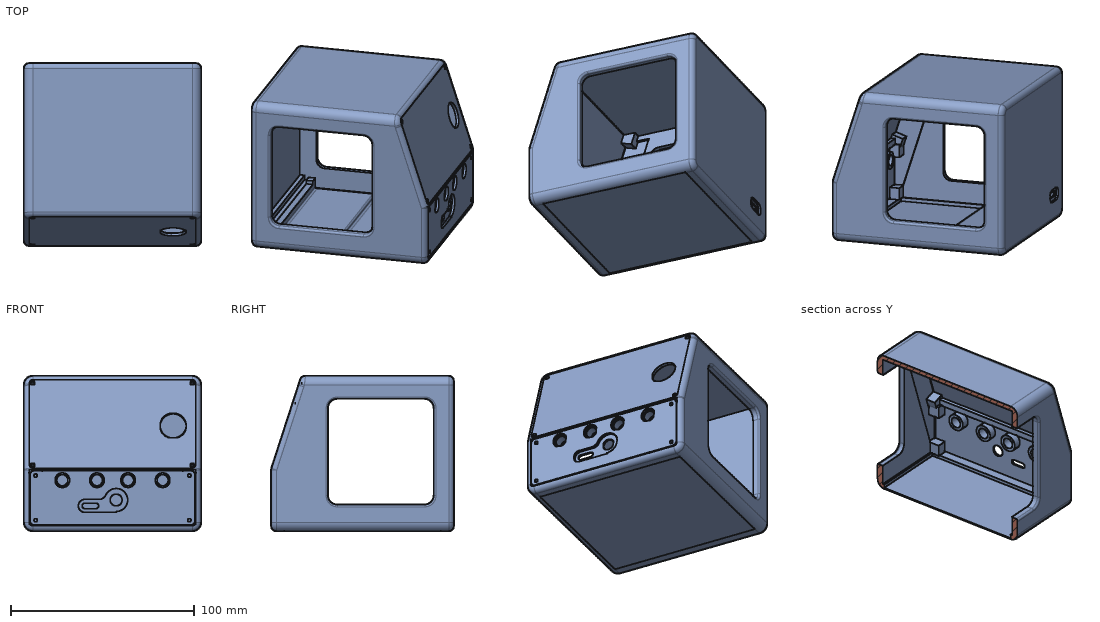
import cadquery as cq
import math

width = 97.0
depth = 100.0
height = 85.0
kink_height = 34.0
slope_angle = math.radians(18.0)
side_radius = 5.0
rim_radius = 3.0
mid_x = width / 2
beyond = 1.0
aligned = 0.999

side_wall = 4.0
thin_side_wall = 2.5
thin_wall_reach = 15.0
wall = 3.0
thin_roof = 6.0
rear_wall = 2.0
front_wall = 2.5
slope_wall = 1.5

window_size = 57.6
window_center_y = 60.0
window_center_z = 43.5
window_corner_radius = 4.9
window_edge_radius = 1.2

panel_gap = 0.5
face_corner_radius = side_radius - rim_radius
front_screw_diameter = 1.8
front_screw_inset = 3.0
front_screw_rise = 12.2
button_height = 27.9
button_offsets = (-27.4, -8.5, 8.5, 27.4)
button_diameter = 6.1
button_recess_diameter = 8.0
button_recess_depth = 1.5
button_tube_diameter = 9.5
button_tube_length = 7.0
socket_x = 2.0
socket_height = 17.1
socket_diameter = 6.5
socket_recess_diameter = 12.6
slot_x = -12.1
slot_height = 13.9
slot_length = 9.0
slot_width = 3.0
slot_recess_start = -15.1
slot_recess_width = 7.1
recess_blend_radius = 4.0
recess_depth = 1.5

slope_corner_radius = 2.5
slope_screw_diameter = 2.2
slope_screw_inset = 1.9
slope_hole_diameter = 14.3
slope_hole_x = 33.1
slope_hole_rise = 25.0

post_size = 7.0
post_length = 8.0
pilot_depth = 6.0

bar_depth = 5.0
bar_height = 3.0

rear_ledge_front = 92.8
rear_ledge_top = 7.0
rear_lip_front = 95.4
rear_lip_top = 9.6
rear_slot_x = 15.4
rear_slot_height = 15.3
rear_slot_skin = 0.8

lid_front = depth - rear_ledge_front
lid_plate = 1.0
lid_step_y = 55.5
lid_raised_top = 3.2
lid_rim_front = 89.0
lid_block_width = 4.9
lid_block_top = 9.0
lid_fillet = 1.0

slope_normal = cq.Vector(0, -math.cos(slope_angle), math.sin(slope_angle))
slope_length = (height - kink_height) / math.cos(slope_angle)
kink_setback = rim_radius * math.tan(slope_angle / 2)
top_setback = rim_radius * math.tan((math.pi / 2 - slope_angle) / 2)
face_width = width - 2 * rim_radius
front_face_bottom = rim_radius
front_face_top = kink_height - kink_setback
front_face_height = front_face_top - front_face_bottom
front_face_mid = (front_face_top + front_face_bottom) / 2
slope_face_length = slope_length - kink_setback - top_setback
slope_face_mid = kink_setback + slope_face_length / 2
front_screw_x = face_width / 2 - panel_gap - front_screw_inset
slope_screw_x = face_width / 2 - slope_screw_inset
slope_screw_y = slope_face_length / 2 - slope_screw_inset


def block(x0, x1, y0, y1, z0, z1):
    """Box between two opposite corners."""
    return cq.Workplane("XY").box(x1 - x0, y1 - y0, z1 - z0, centered=False).translate((x0, y0, z0))


def front_plane(z=0.0, y=0.0):
    """Plane on the middle of the upright front, normal pointing out (-Y)."""
    return cq.Workplane(cq.Plane(origin=(mid_x, y, z), xDir=(1, 0, 0), normal=(0, -1, 0)))


def slope_plane(rise=0.0):
    """Plane on the sloped front, normal pointing out, local Y running up the slope."""
    origin = (mid_x, rise * math.sin(slope_angle), kink_height + rise * math.cos(slope_angle))
    return cq.Workplane(cq.Plane(origin=origin, xDir=(1, 0, 0), normal=slope_normal))


def corners(x, y):
    """Four points placed symmetrically about the origin."""
    return [(-x, -y), (x, -y), (-x, y), (x, y)]


def slope_cutter(offset):
    """Everything in front of a plane lying `offset` behind the sloped front."""
    return slope_plane().workplane(offset=-offset).rect(4 * width, 4 * height).extrude(2 * depth)


def envelope():
    """Outer shape with all its rounded edges."""
    body = block(0, width, 0, depth, 0, height).edges("|Y").fillet(side_radius)
    body = body.cut(slope_cutter(0))
    faces = [f for f in body.faces().vals()
             if f.normalAt().dot(slope_normal) > aligned or abs(f.normalAt().y) > aligned]
    rims = {edge.hashCode(): edge for face in faces for edge in face.Edges()}
    return cq.Workplane(body.val().fillet(rim_radius, list(rims.values())))


def cavity():
    """Hollow inside: thick side walls in general, thin ones near the slope."""
    main = block(side_wall, width - side_wall, front_wall, depth - rear_wall, wall, height - wall)
    near_slope = block(thin_side_wall, width - thin_side_wall, front_wall, depth - rear_wall,
                       wall, height - thin_roof)
    near_slope = near_slope.intersect(slope_cutter(thin_wall_reach))
    return main.union(near_slope).cut(slope_cutter(slope_wall))


def front_outline(inset):
    """Plate as thick as the front wall, filling the upright face shrunk by `inset`."""
    sketch = front_plane(front_face_mid).rect(face_width - 2 * inset, front_face_height - 2 * inset)
    return sketch.extrude(-front_wall)


def slope_panel_blank():
    """Sloped panel without its holes; it also shapes the seat in the housing."""
    blank = slope_plane(slope_face_mid).rect(face_width, slope_face_length).extrude(-slope_wall)
    normal_edges = cq.selectors.ParallelDirSelector(slope_normal)
    return blank.edges(normal_edges).fillet(slope_corner_radius)


def window_cutter():
    """Square opening with round corners through both side walls."""
    half = window_size / 2
    cutter = block(-beyond, width + beyond, window_center_y - half, window_center_y + half,
                   window_center_z - half, window_center_z + half)
    return cutter.edges("|X").fillet(window_corner_radius)


def round_window_edges(body):
    """Round the outer edges of both window openings."""
    reach = window_size / 2 + beyond
    for x in (0, width):
        rim = cq.selectors.BoxSelector(
            (x - beyond, window_center_y - reach, window_center_z - reach),
            (x + beyond, window_center_y + reach, window_center_z + reach))
        body = body.edges(rim).fillet(window_edge_radius)
    return body


def lid_seat():
    """Opening in the floor that the lid fills."""
    return block(side_radius, width - side_radius, lid_front, rear_ledge_front, 0, wall)


def rear_slot_cutter():
    """Slot through the rear wall with a wider recess on the outside."""
    on_rear_face = front_plane(rear_slot_height, depth).center(rear_slot_x - mid_x, 0)
    slot = on_rear_face.slot2D(slot_length, slot_width).extrude(rear_wall)
    recess = on_rear_face.slot2D(slot_length + slot_recess_width - slot_width, slot_recess_width)
    return slot.union(recess.extrude(rear_wall - rear_slot_skin))


def make_housing():
    """Hollow case with the panel openings, windows, screw posts and rear slot."""
    shape = envelope()
    inside = cavity()
    posts = (front_plane(front_face_mid).pushPoints(corners(front_screw_x, front_screw_rise))
             .rect(post_size, post_size).extrude(-post_length))
    slope_posts = (slope_plane(slope_face_mid).pushPoints(corners(slope_screw_x, slope_screw_y))
                   .rect(post_size, post_size).extrude(-post_length))
    bar = block(0, width, 0, bar_depth, kink_height - kink_setback, kink_height + bar_height)
    ledge = block(0, width, rear_ledge_front, depth, 0, rear_ledge_top)
    lip = block(0, width, rear_lip_front, depth, 0, rear_lip_top)
    for extra in (posts, slope_posts, bar, ledge, lip):
        inside = inside.cut(extra)
    body = shape.cut(inside)
    body = body.cut(front_outline(0).edges("|Y and <Z").fillet(face_corner_radius))
    body = body.cut(slope_panel_blank())
    body = round_window_edges(body.cut(window_cutter()))
    body = body.cut(lid_seat())
    body = body.cut(front_plane(front_face_mid).pushPoints(corners(front_screw_x, front_screw_rise))
                    .circle(front_screw_diameter / 2).extrude(-pilot_depth))
    body = body.cut(slope_plane(slope_face_mid).pushPoints(corners(slope_screw_x, slope_screw_y))
                    .circle(slope_screw_diameter / 2).extrude(-pilot_depth))
    return body.cut(rear_slot_cutter())


def make_slope_panel():
    """Sloped panel with its corner screw holes and one large round hole."""
    panel = slope_panel_blank()
    panel = panel.cut(slope_plane(slope_face_mid).pushPoints(corners(slope_screw_x, slope_screw_y))
                      .circle(slope_screw_diameter / 2).extrude(-slope_wall))
    return panel.cut(slope_plane(slope_hole_rise).center(slope_hole_x, 0)
                     .circle(slope_hole_diameter / 2).extrude(-slope_wall))


def socket_recess():
    """Shallow recess: a round pocket blended into a slot-shaped tail."""
    pocket = (front_plane(socket_height).center(socket_x, 0)
              .circle(socket_recess_diameter / 2).extrude(-recess_depth))
    end = (front_plane(slot_height).center(slot_recess_start, 0)
           .circle(slot_recess_width / 2).extrude(-recess_depth))
    tail_length = socket_x - slot_recess_start
    tail = (front_plane(slot_height).center(slot_recess_start + tail_length / 2, 0)
            .rect(tail_length, slot_recess_width).extrude(-recess_depth))
    recess = pocket.union(end).union(tail).clean()
    tail_top = slot_height + slot_recess_width / 2
    reach = math.sqrt((socket_recess_diameter / 2) ** 2 - (tail_top - socket_height) ** 2)
    corner = cq.selectors.NearestToPointSelector(
        (mid_x + socket_x - reach, recess_depth / 2, tail_top))
    return recess.edges("|Y").edges(corner).fillet(recess_blend_radius)


def make_front_panel():
    """Upright panel with button tubes, screw holes, socket hole and slot."""
    panel = front_outline(panel_gap).edges("|Y").fillet(face_corner_radius)
    spots = [(x, 0) for x in button_offsets]
    panel = panel.union(front_plane(button_height).pushPoints(spots)
                        .circle(button_tube_diameter / 2).extrude(-button_tube_length))
    panel = panel.cut(front_plane(button_height).pushPoints(spots)
                      .circle(button_diameter / 2).extrude(-button_tube_length))
    panel = panel.cut(front_plane(button_height).pushPoints(spots)
                      .circle(button_recess_diameter / 2).extrude(-button_recess_depth))
    panel = panel.cut(front_plane(front_face_mid).pushPoints(corners(front_screw_x, front_screw_rise))
                      .circle(front_screw_diameter / 2).extrude(-front_wall))
    panel = panel.cut(socket_recess())
    panel = panel.cut(front_plane(socket_height).center(socket_x, 0)
                      .circle(socket_diameter / 2).extrude(-front_wall))
    return panel.cut(front_plane(slot_height).center(slot_x, 0)
                     .slot2D(slot_length, slot_width).extrude(-front_wall))


def make_lid():
    """Bottom lid: plate with a raised rear half, a rear rim and two end blocks."""
    left = side_radius
    right = width - side_radius
    profile = (cq.Workplane("YZ")
               .moveTo(lid_front, 0)
               .lineTo(rear_ledge_front, 0)
               .lineTo(rear_ledge_front, rear_ledge_top)
               .lineTo(lid_rim_front, rear_ledge_top)
               .lineTo(lid_rim_front, lid_raised_top)
               .lineTo(lid_step_y, lid_raised_top)
               .lineTo(lid_step_y, lid_plate)
               .lineTo(lid_front, lid_plate)
               .close())
    lid = profile.extrude(right - left).translate((left, 0, 0))
    for y, z in ((lid_rim_front, lid_raised_top), (lid_step_y, lid_raised_top), (lid_step_y, lid_plate)):
        lid = lid.edges(cq.selectors.NearestToPointSelector((mid_x, y, z))).fillet(lid_fillet)
    for x in (left, right - lid_block_width):
        lid = lid.union(block(x, x + lid_block_width, lid_rim_front, rear_ledge_front,
                              lid_plate, lid_block_top))
    return lid


housing = make_housing()
slope_panel = make_slope_panel()
front_panel = make_front_panel()
lid = make_lid()

result = cq.Compound.makeCompound([housing.val(), slope_panel.val(), front_panel.val(), lid.val()])